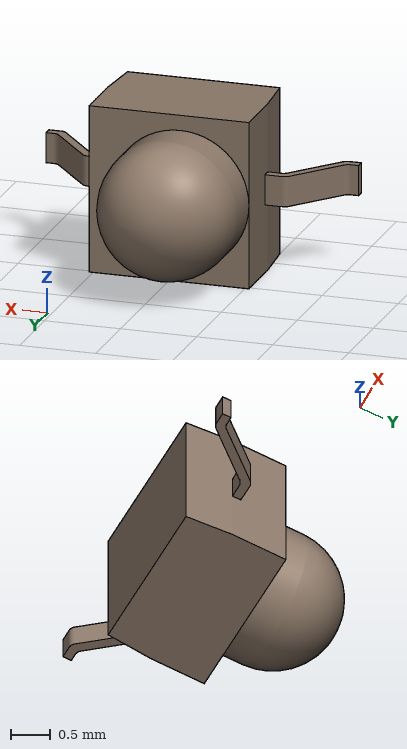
import cadquery as cq
import math

span = 4.11
total_depth = 2.84

block_width = 2.1
block_height = 2.2
block_depth = 1.4
standoff = 0.06
taper_length = 0.633
taper_inset = 0.05
lens_radius = 0.9

lead_thickness = 0.12
lead_width = 0.4
lead_rise = 0.7
foot_length = 0.205
ramp_run = 0.58
bend_radius = 0.1

half_width = block_width / 2
block_front = standoff
block_back = block_front + block_depth
taper_end = block_front + taper_length
lens_x = lens_radius - half_width
dome_start = total_depth - lens_radius


def make_package():
    """Block and dome lens, moulded as one solid."""
    front_half_width = half_width - taper_inset
    block = (
        cq.Workplane("XY", origin=(0, 0, -block_height / 2))
        .polyline([
            (-front_half_width, block_front),
            (front_half_width, block_front),
            (half_width, taper_end),
            (half_width, block_back),
            (-half_width, block_back),
            (-half_width, taper_end),
        ])
        .close()
        .extrude(block_height)
    )
    arc_middle = lens_radius * math.sqrt(0.5)
    lens = (
        cq.Workplane("XY", origin=(lens_x, 0, 0))
        .moveTo(0, block_back)
        .lineTo(lens_radius, block_back)
        .lineTo(lens_radius, dome_start)
        .threePointArc((arc_middle, dome_start + arc_middle), (0, total_depth))
        .close()
        .revolve(360, (0, 0), (0, 1))
    )
    return block.union(lens)


def make_lead(side):
    """Bent lead that meets the block on the given side: -1 for -X, +1 for +X."""
    ramp_angle = math.atan2(lead_rise, ramp_run)
    corner_shift = lead_thickness * math.tan(ramp_angle / 2)
    tip = span / 2
    foot_corner = tip - foot_length
    shoulder_corner = foot_corner - ramp_run
    shoulder_top = lead_rise + lead_thickness
    bends = [
        (foot_corner, 0),
        (shoulder_corner, lead_rise),
        (shoulder_corner + corner_shift, shoulder_top),
        (foot_corner + corner_shift, lead_thickness),
    ]
    outline = [
        (tip, 0),
        *bends[:2],
        (half_width, lead_rise),
        (half_width, shoulder_top),
        *bends[2:],
        (tip, lead_thickness),
    ]
    lead = (
        cq.Workplane("XY", origin=(0, 0, -lead_width / 2))
        .polyline([(side * x, y) for x, y in outline])
        .close()
        .extrude(lead_width)
    )
    for x, y in bends:
        bend_edge = cq.selectors.NearestToPointSelector((side * x, y, 0))
        lead = lead.edges("|Z").edges(bend_edge).fillet(bend_radius)
    return lead


package = make_package()
leads = [make_lead(side) for side in (-1, 1)]

result = cq.Compound.makeCompound([package.val(), *[lead.val() for lead in leads]])